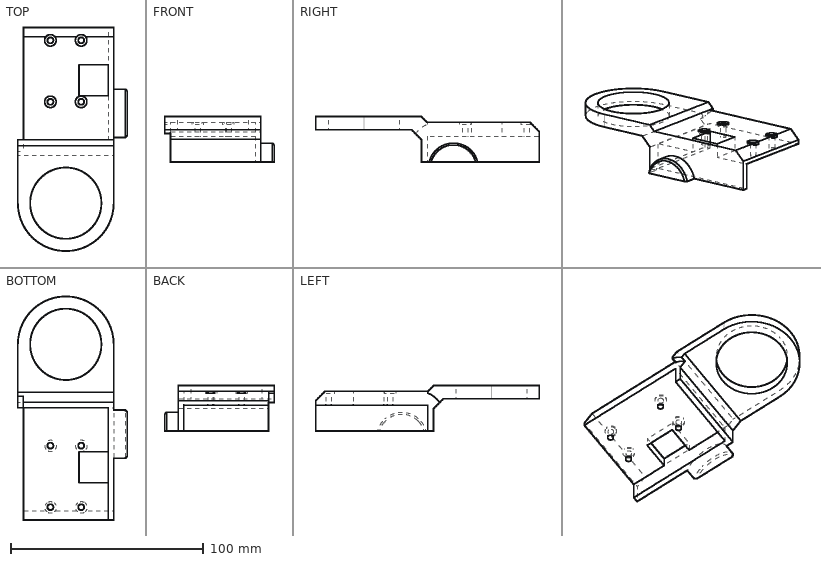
import cadquery as cq


ring_radius = 25.0
ring_bore_radius = 18.5
arm_top = 23.75
arm_thickness = 7.0
arm_bottom = arm_top - arm_thickness

wall = 3.0
body_right = ring_radius
body_left = wall - ring_radius
body_width = body_right - body_left
body_front = 30.0
body_length = 61.5
body_back = body_front + body_length
wall_inner_y = body_front + wall
plate_top = arm_top - wall
plate_bottom = 13.5
back_chamfer = 5.0
gusset = 5.0

relief_radius = 15.0
relief_y = 39.0
relief_z = 6.0

screw_spacing_x = 16.0
screw_spacing_y = 32.0
screw_rear_y = 84.7
screw_diameter = 3.0
screw_head_diameter = 6.0
screw_head_depth = 1.0

window_length_x = 15.0
window_length_y = 16.0
window_right = body_right - wall
window_front = 56.0

boss_radius = 13.0
boss_length = 7.0
boss_chamfer = 1.0
boss_y = 46.75
boss_z = -3.1


def box(x_range, y_range, z_range):
    """Axis-aligned block between the given limits."""
    size = [high - low for low, high in (x_range, y_range, z_range)]
    corner = (x_range[0], y_range[0], z_range[0])
    return cq.Workplane("XY").box(*size, centered=False).translate(corner)


def extrude_profile(points, x_start, width):
    """Extrude a (Y, Z) outline along +X."""
    return cq.Workplane("YZ", origin=(x_start, 0, 0)).polyline(points).close().extrude(width)


def make_body():
    profile = [
        (body_front, 0),
        (wall_inner_y, 0),
        (wall_inner_y, plate_bottom),
        (body_back, plate_bottom),
        (body_back, plate_top - back_chamfer),
        (body_back - back_chamfer, plate_top),
        (wall_inner_y, plate_top),
        (body_front, arm_top),
    ]
    plate_and_front_wall = extrude_profile(profile, body_left, body_width)
    side_wall = box((window_right, body_right), (body_front, body_back), (0, plate_bottom))
    return plate_and_front_wall.union(side_wall)


def make_arm():
    """Round-ended arm with sloped faces running into the body."""
    profile = [
        (-ring_radius, arm_bottom),
        (body_front - gusset, arm_bottom),
        (body_front, arm_bottom - gusset),
        (wall_inner_y, arm_bottom - gusset),
        (wall_inner_y, plate_top),
        (body_front, arm_top),
        (-ring_radius, arm_top),
    ]
    arm = extrude_profile(profile, -ring_radius, 2 * ring_radius)
    outline = (
        cq.Workplane("XY")
        .moveTo(-ring_radius, wall_inner_y)
        .lineTo(-ring_radius, 0)
        .threePointArc((0, -ring_radius), (ring_radius, 0))
        .lineTo(ring_radius, wall_inner_y)
        .close()
        .extrude(arm_top)
    )
    relief = (
        cq.Workplane("YZ", origin=(-ring_radius, 0, 0))
        .center(relief_y, relief_z)
        .circle(relief_radius)
        .extrude(wall)
    )
    bore = cq.Workplane("XY").circle(ring_bore_radius).extrude(arm_top)
    return arm.intersect(outline).cut(relief).cut(bore)


def make_boss():
    disc = (
        cq.Workplane("YZ", origin=(body_right, boss_y, boss_z))
        .circle(boss_radius)
        .extrude(boss_length)
        .faces(">X")
        .chamfer(boss_chamfer)
    )
    above_base = box(
        (body_right, body_right + boss_length),
        (boss_y - boss_radius, boss_y + boss_radius),
        (0, boss_radius),
    )
    return disc.intersect(above_base)


def make_screw_holes():
    """Counterbored holes at the four corners of a rectangle."""
    centres = [
        (x, y)
        for x in (-screw_spacing_x / 2, screw_spacing_x / 2)
        for y in (screw_rear_y - screw_spacing_y, screw_rear_y)
    ]
    layout = cq.Workplane("XY", origin=(0, 0, plate_top)).pushPoints(centres)
    shanks = layout.circle(screw_diameter / 2).extrude(plate_bottom - plate_top)
    heads = layout.circle(screw_head_diameter / 2).extrude(-screw_head_depth)
    return shanks.union(heads)


def make_window():
    return box(
        (window_right - window_length_x, window_right),
        (window_front, window_front + window_length_y),
        (plate_bottom, plate_top),
    )


result = make_body().union(make_arm()).union(make_boss()).cut(make_screw_holes()).cut(make_window())